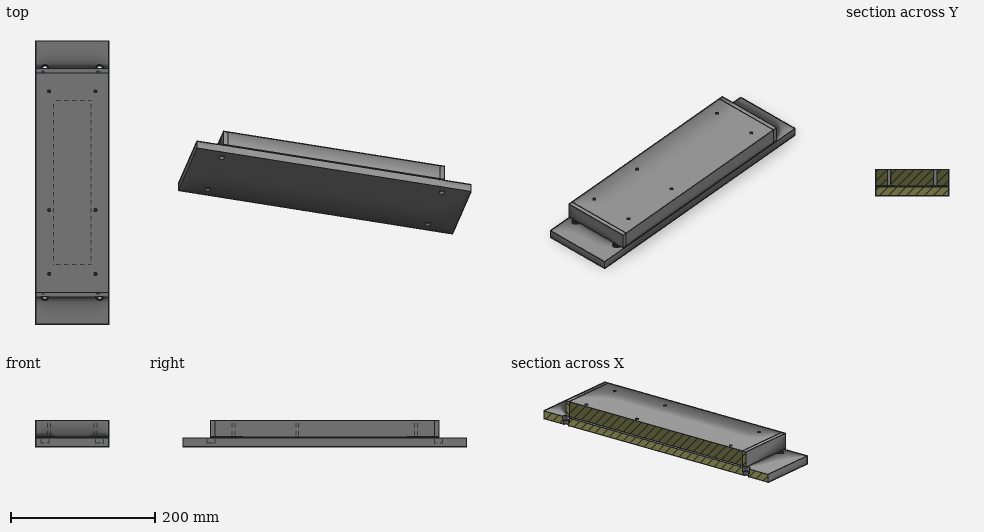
import cadquery as cq

width = 101.5
overall_height = 36.5

base_length = 393.7
base_thickness = 12.2
mount_spacing_x = 76.0
mount_spacing_y = 316.0
mount_hole_diameter = 8.0
counterbore_diameter = 11.5
counterbore_depth = 6.5

pad_width = 52.0
pad_length = 227.5
pad_thickness = 1.5

table_bottom = base_thickness + pad_thickness
table_thickness = overall_height - table_bottom
end_plate_thickness = 6.3
assembly_length = 317.5
table_length = assembly_length - 2 * end_plate_thickness

table_hole_diameter = 4.0
table_hole_spacing_x = 64.0
table_hole_rows = (-126.8, -38.0, 126.8)


def block(length, block_width, thickness, bottom):
    """Rectangular block centred on the Z axis, resting at the given height."""
    return (
        cq.Workplane("XY")
        .workplane(offset=bottom)
        .rect(block_width, length)
        .extrude(thickness)
    )


def make_base():
    """Base plate with four counterbored mounting holes."""
    return (
        block(base_length, width, base_thickness, 0)
        .faces(">Z")
        .workplane()
        .rect(mount_spacing_x, mount_spacing_y, forConstruction=True)
        .vertices()
        .cboreHole(mount_hole_diameter, counterbore_diameter, counterbore_depth)
    )


def make_pad():
    """Thin pad that carries the table clear of the base plate."""
    return block(pad_length, pad_width, pad_thickness, base_thickness)


def make_table():
    """Table with three rows of two through holes."""
    hole_points = [
        (side * table_hole_spacing_x / 2, row)
        for row in table_hole_rows
        for side in (-1, 1)
    ]
    return (
        block(table_length, width, table_thickness, table_bottom)
        .faces(">Z")
        .workplane()
        .pushPoints(hole_points)
        .hole(table_hole_diameter)
    )


def make_end_plate(side):
    """End plate against the table's -Y end (side = -1) or +Y end (side = 1)."""
    centre_y = side * (table_length + end_plate_thickness) / 2
    plate = block(end_plate_thickness, width, table_thickness, table_bottom)
    return plate.translate((0, centre_y, 0))


base = make_base()
pad = make_pad()
table = make_table()
end_plates = [make_end_plate(side) for side in (-1, 1)]

result = cq.Compound.makeCompound(
    [base.val(), pad.val(), table.val(), *[plate.val() for plate in end_plates]]
)